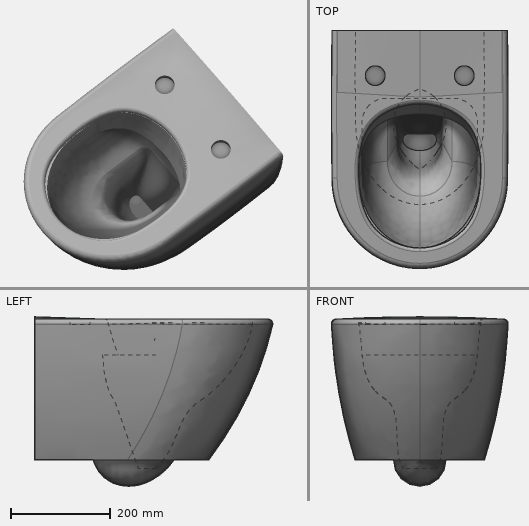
import cadquery as cq
import math


BODY_SECTIONS = [
    (0.0, 129.5, 187.5, 351.5),
    (137.0, 162.5, 259.5, 434.0),
    (273.5, 177.5, 298.0, 480.5),
]
SIDE_BOW = 1.2
SIDE_BOW_POSITION = 0.53
RIM_TOP = 284.5
RIM_EDGE_RADIUS = 10.5

DECK_HALF_WIDTH = 166.5
DECK_CROWN = 4.55
DECK_REACH_SIDE = 125.0
DECK_REACH_CENTRE = 134.5
DECK_SINK = 5.0

HOLE_DIAMETER = 40.0
HOLE_SPACING = 179.5
HOLE_REACH = 91.5
HOLE_DEPTH = 11.5

REAR_FULLNESS = 0.76
FRONT_FULLNESS = 0.725

MOUTH_REAR = 148.0
MOUTH_FRONT = 439.0
MOUTH_HALF_WIDTH = 123.0
MOUTH_WIDEST_REACH = 300.5
MOUTH_EDGE_RADIUS = 7.0
MOUTH_DEPTH = 10.5

LIP_BOTTOM = 211.5
LIP_HALF_WIDTH = 134.5
LIP_REAR = 105.5
LIP_FRONT = 288.5
LIP_SECTIONS = [
    (276.0, 123.5, 148.5, 300.5, 439.5),
    (240.5, 123.0, 158.5, 298.0, 437.5),
    (209.0, 121.0, 169.0, 293.0, 432.5),
]

BOWL_SECTIONS = [
    (275.0, 122.5, 134.5, 295.5, 438.5, 53.0),
    (211.5, 116.5, 137.0, 283.5, 417.0, 48.0),
    (149.0, 97.5, 146.5, 269.0, 370.0, 38.5),
    (120.0, 65.5, 161.0, 264.5, 334.5, 19.0),
]

WELL_SECTIONS = [
    BOWL_SECTIONS[-1],
    (101.0, 53.0, 168.0, 240.5, 312.5, 9.5),
    (38.5, 45.5, 190.0, 230.5, 281.0, 9.5),
    (-17.0, 33.5, 209.0, 221.0, 242.5, 9.5),
]

TRAP_PROFILE = [(0, 118.0), (15.5, 124.5), (35.0, 140.0), (53.1, 191.0), (34.0, 246.5), (0, 280.5)]


def front_quarter(height, half_width, shoulder, front, start):
    """Quarter of a section's elliptical nose, from the angle start measured off its tip."""
    forward = cq.Vector(0, -1, 0)
    across = cq.Vector(1, 0, 0)
    up = cq.Vector(0, 0, 1)
    centre = cq.Vector(0, -shoulder, height)
    nose_length = front - shoulder
    if nose_length >= half_width:
        return cq.Edge.makeEllipse(nose_length, half_width, centre, up, forward, start, start + 90)
    return cq.Edge.makeEllipse(half_width, nose_length, centre, up, across, start - 90, start)


def nose_edges(height, half_width, shoulder, front):
    return [front_quarter(height, half_width, shoulder, front, start) for start in (0, 270)]


def body_section(height, half_width, shoulder, front):
    """D-shaped outline: straight at the wall, gently bowed sides, elliptical front."""
    def at(x, reach):
        return cq.Vector(x, -reach, height)

    def side(sign):
        return cq.Edge.makeSpline([
            at(sign * half_width, 0),
            at(sign * (half_width + SIDE_BOW), SIDE_BOW_POSITION * shoulder),
            at(sign * half_width, shoulder),
        ])

    back = cq.Edge.makeLine(at(-half_width, 0), at(half_width, 0))
    nose = nose_edges(height, half_width, shoulder, front)
    return cq.Wire.assembleEdges([back, side(1), *nose, side(-1)])


def egg_section(height, half_width, rear, widest, front):
    """Closed oval, blunt at the rear and rounder at the front."""
    def half(sign):
        def at(x, reach):
            return cq.Vector(sign * x, -reach, height)

        points = [
            at(0, rear),
            at(REAR_FULLNESS * half_width, widest - REAR_FULLNESS * (widest - rear)),
            at(half_width, widest),
            at(FRONT_FULLNESS * half_width, widest + FRONT_FULLNESS * (front - widest)),
            at(0, front),
        ]
        outward = cq.Vector(sign, 0, 0)
        return cq.Edge.makeSpline(points, tangents=[outward, -outward], scale=False)

    return cq.Wire.assembleEdges([half(1), half(-1)])


def basin_section(height, half_width, rear, shoulder, front, corner_radius):
    """U-shaped outline: straight rear and sides, rounded rear corners, elliptical front."""
    straight = half_width - corner_radius
    corner_end = rear + corner_radius
    corner_inset = corner_radius * (1 - math.sqrt(0.5))

    def at(x, reach):
        return cq.Vector(x, -reach, height)

    def corner(sign):
        return cq.Edge.makeThreePointArc(
            at(sign * straight, rear),
            at(sign * (half_width - corner_inset), rear + corner_inset),
            at(sign * half_width, corner_end),
        )

    def side(sign):
        return cq.Edge.makeLine(at(sign * half_width, corner_end), at(sign * half_width, shoulder))

    back = cq.Edge.makeLine(at(-straight, rear), at(straight, rear))
    nose = nose_edges(height, half_width, shoulder, front)
    return cq.Wire.assembleEdges([back, corner(1), side(1), *nose, side(-1), corner(-1)])


def loft(make_section, sections):
    """Smooth solid through a stack of outlines."""
    return cq.Workplane(cq.Solid.makeLoft([make_section(*section) for section in sections]))


def make_body():
    """Tapering lower body with a rounded rim; the wall edge stays sharp."""
    rim_bottom = BODY_SECTIONS[-1][0]
    rim_outline = body_section(*BODY_SECTIONS[-1])
    rim = cq.Solid.extrudeLinear(rim_outline, [], cq.Vector(0, 0, RIM_TOP - rim_bottom))
    rim = cq.Workplane(rim).faces(">Z").edges("not >Y").fillet(RIM_EDGE_RADIUS)
    return loft(body_section, BODY_SECTIONS).union(rim)


def cut_mouth(body):
    """Oval opening through the rim with a rounded edge."""
    outline = egg_section(
        RIM_TOP - MOUTH_DEPTH, MOUTH_HALF_WIDTH, MOUTH_REAR, MOUTH_WIDEST_REACH, MOUTH_FRONT
    )
    opened = body.cut(cq.Workplane(cq.Solid.extrudeLinear(outline, [], cq.Vector(0, 0, MOUTH_DEPTH))))
    mouth_edge = opened.faces(">Z").val().innerWires()[0].Edges()
    return opened.newObject(mouth_edge).fillet(MOUTH_EDGE_RADIUS)


def deck_half_section(side_reach, centre_reach, crown):
    """Upright outline from the side of the deck to its centre, arched up by the crown."""
    base = RIM_TOP - DECK_SINK
    side_base = cq.Vector(DECK_HALF_WIDTH, -side_reach, base)
    side_top = cq.Vector(DECK_HALF_WIDTH, -side_reach, RIM_TOP)
    centre_base = cq.Vector(0, -centre_reach, base)
    centre_top = cq.Vector(0, -centre_reach, RIM_TOP + crown)
    if crown:
        middle_top = (side_top + centre_top) * 0.5 + cq.Vector(0, 0, crown / 4)
        top = cq.Edge.makeThreePointArc(side_top, middle_top, centre_top)
    else:
        top = cq.Edge.makeLine(side_top, centre_top)
    return cq.Wire.assembleEdges([
        cq.Edge.makeLine(centre_base, side_base),
        cq.Edge.makeLine(side_base, side_top),
        top,
        cq.Edge.makeLine(centre_top, centre_base),
    ])


def make_deck():
    """Wedge crowned at the wall that runs out flat ahead of the seat holes."""
    at_wall = deck_half_section(0, 0, DECK_CROWN)
    at_front = deck_half_section(DECK_REACH_SIDE, DECK_REACH_CENTRE, 0)
    half_deck = cq.Workplane(cq.Solid.makeLoft([at_wall, at_front], True))
    return half_deck.union(half_deck.mirror("YZ"))


def make_trap():
    """Rounded bulge: the side profile turned about a fore-and-aft axis at the underside."""
    profile = [(radius, -reach) for radius, reach in TRAP_PROFILE]
    return cq.Workplane("XY").spline(profile).close().revolve(360, (0, 0, 0), (0, 1, 0))


def make_lip():
    """Block behind the bowl, hollowed by the sloping oval face of the lip."""
    block = cq.Workplane("XY", origin=(0, -(LIP_REAR + LIP_FRONT) / 2, LIP_BOTTOM)).box(
        2 * LIP_HALF_WIDTH, LIP_FRONT - LIP_REAR, RIM_TOP - LIP_BOTTOM, centered=(True, True, False)
    )
    return block.cut(loft(egg_section, LIP_SECTIONS))


def make_seat_holes():
    """Two blind holes; the cutters rise clear of the crowned deck."""
    return (
        cq.Workplane("XY", origin=(0, -HOLE_REACH, RIM_TOP - HOLE_DEPTH))
        .pushPoints([(-HOLE_SPACING / 2, 0), (HOLE_SPACING / 2, 0)])
        .circle(HOLE_DIAMETER / 2)
        .extrude(HOLE_DEPTH + 2 * DECK_CROWN)
    )


bowl = loft(basin_section, BOWL_SECTIONS).cut(make_lip())
well = loft(basin_section, WELL_SECTIONS)

body = cut_mouth(make_body()).union(make_deck()).union(make_trap())
result = body.cut(bowl).cut(well).cut(make_seat_holes())